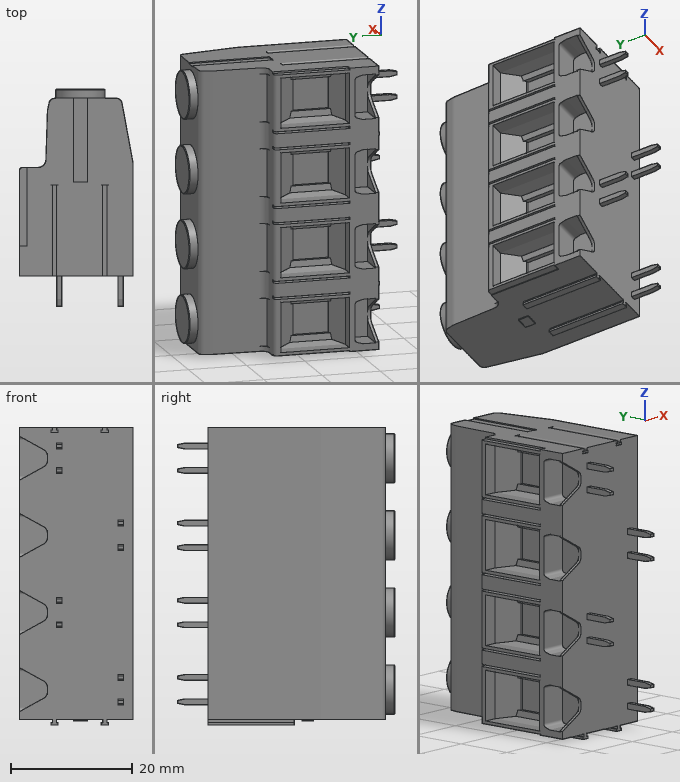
import cadquery as cq


POLES = 4
PITCH = 12.7
LOWER_MARGIN = 4.95
UPPER_MARGIN = 5.1
DEPTH = 18.7
HEIGHT = 29.25
LENGTH = (POLES - 1) * PITCH + LOWER_MARGIN + UPPER_MARGIN
POLE_CENTRES = [LOWER_MARGIN + i * PITCH for i in range(POLES)]

SHELF_Y = 17.9
SHELF_INNER_X = 4.3
SHELF_EDGE_RADIUS = 0.55
SHELF_ROOT_RADIUS = 1.25
TOWER_BEND = (4.6, 27.25)
TOWER_FRONT_X = 5.05
TOWER_REAR_X = 16.75
TOWER_EDGE_RADIUS = 1.0
BEND_RADIUS = 2.95
REAR_BEND_Y = 18.6
ROOT_CLEARANCE = 4.05

SCREW_X = 10.05
SCREW_DIAMETER = 8.15
SCREW_HEIGHT = 1.5
SCREW_CHAMFER = 0.15
SCREW_EMBED = 0.5

MOUTH_Y = (5.05, 16.8)
SHAFT_Y = (7.2, 13.3)
MOUTH_HALF_WIDTH = 4.25
SHAFT_HALF_WIDTH = 2.7
FUNNEL_START = 2.35
FUNNEL_END = 4.8
SHAFT_END = 5.2
ENTRY_HALF_WIDTHS = [
    (0, MOUTH_HALF_WIDTH),
    (FUNNEL_START, MOUTH_HALF_WIDTH),
    (4.3, 3.75),
    (4.5, SHAFT_HALF_WIDTH),
    (FUNNEL_END, SHAFT_HALF_WIDTH),
    (SHAFT_END, SHAFT_HALF_WIDTH),
]

SLOT_OFFSET = 4.8
SLOT_WIDTH = 0.35
SLOT_DEPTH = 1.23
SLOT_BOTTOM_Y = 4.95

POCKET_DEPTH = 4.6
POCKET_TOP_Y = 4.05
POCKET_HALF_WIDTH = 3.75
POCKET_ROOF_HALF_WIDTH = 3.4
POCKET_BEND_Y = 2.75
POCKET_ROOF_RADIUS = 0.6
LIP = 0.55
NOTCH_MOUTH_HALF_WIDTH = 3.65
NOTCH_END_HALF_WIDTH = 1.1
NOTCH_RADIUS = 1.23

PIN_COLUMNS = (16.65, 6.55)
PIN_OFFSET = 2.0
PIN_WIDTH = 0.9
PIN_THICKNESS = 1.0
PIN_LENGTH = 5.0
PIN_TAPER_LENGTH = 1.2
PIN_EMBED = 0.5
PIN_TIP_THICKNESS = 0.5

RAIL_CENTRES = (5.8, 14.05)
RAIL_NECK_WIDTH = 0.75
RAIL_HEAD_WIDTH = 1.23
RAIL_HEIGHT = 0.9
RAIL_HEAD_HEIGHT = 0.4
RAIL_LENGTH = 14.2
GROOVE_LENGTH = 14.95
GROOVE_MOUTH_RADIUS = 0.2

KEY_WIDTH = 2.25
KEY_BOTTOM_Y = 15.5
KEY_LENGTH = 1.9
KEY_HEIGHT = 0.2


def block(x0, x1, y0, y1, z0, z1):
    """Box between two opposite corners."""
    return cq.Workplane("XY").box(x1 - x0, y1 - y0, z1 - z0, centered=False).translate((x0, y0, z0))


def housing():
    outline = [
        (0, 0), (DEPTH, 0), (DEPTH, REAR_BEND_Y), (TOWER_REAR_X, HEIGHT), (TOWER_FRONT_X, HEIGHT),
        TOWER_BEND, (SHELF_INNER_X, SHELF_Y), (0, SHELF_Y),
    ]
    fillets = [
        ((TOWER_REAR_X, HEIGHT), TOWER_EDGE_RADIUS),
        ((TOWER_FRONT_X, HEIGHT), TOWER_EDGE_RADIUS),
        (TOWER_BEND, BEND_RADIUS),
        ((SHELF_INNER_X, SHELF_Y), SHELF_ROOT_RADIUS),
        ((0, SHELF_Y), SHELF_EDGE_RADIUS),
    ]
    body = cq.Workplane("XY").polyline(outline).close().extrude(LENGTH)
    for (x, y), radius in fillets:
        body = body.edges(cq.NearestToPointSelector((x, y, LENGTH / 2))).fillet(radius)
    return body


def root_relief(z):
    """Material of the root fillet that is missing in front of one pole."""
    reach = 2 * SHELF_ROOT_RADIUS
    slope = (TOWER_BEND[0] - SHELF_INNER_X) / (TOWER_BEND[1] - SHELF_Y)
    corner = [
        (SHELF_INNER_X, SHELF_Y),
        (SHELF_INNER_X + slope * reach, SHELF_Y + reach),
        (SHELF_INNER_X - reach, SHELF_Y + reach),
        (SHELF_INNER_X - reach, SHELF_Y),
    ]
    relief = cq.Workplane("XY").polyline(corner).close().extrude(2 * ROOT_CLEARANCE)
    return relief.translate((0, 0, z - ROOT_CLEARANCE))


def screw(z):
    head = cq.Workplane("XZ").circle(SCREW_DIAMETER / 2).extrude(-(SCREW_HEIGHT + SCREW_EMBED))
    head = head.faces(">Y").chamfer(SCREW_CHAMFER)
    return head.translate((SCREW_X, HEIGHT - SCREW_EMBED, z))


def entry_section(depth, half_width, z):
    """Rectangle of a wire entry; its Y limits converge linearly along the funnel."""
    share = (depth - FUNNEL_START) / (FUNNEL_END - FUNNEL_START)
    share = min(max(share, 0), 1)
    low, high = [mouth + share * (shaft - mouth) for mouth, shaft in zip(MOUTH_Y, SHAFT_Y)]
    corners = [(low, -half_width), (high, -half_width), (high, half_width), (low, half_width)]
    return cq.Wire.makePolygon([cq.Vector(depth, y, z + dz) for y, dz in corners], close=True)


def wire_entry(z):
    sections = [entry_section(depth, half_width, z) for depth, half_width in ENTRY_HALF_WIDTHS]
    entry = cq.Workplane("XY")
    for start, end in zip(sections, sections[1:]):
        entry = entry.add(cq.Solid.makeLoft([start, end], True))
    return entry.combine()


def side_slot(z):
    return block(0, SLOT_DEPTH, SLOT_BOTTOM_Y, SHELF_Y, z - SLOT_WIDTH / 2, z + SLOT_WIDTH / 2)


def solder_pocket(z):
    """Pocket with rounded roof edges, open through a V-shaped notch in the lip below it."""
    pocket = (
        cq.Workplane("YZ")
        .polyline([
            (LIP, -POCKET_HALF_WIDTH), (POCKET_BEND_Y, -POCKET_HALF_WIDTH),
            (POCKET_TOP_Y, -POCKET_ROOF_HALF_WIDTH), (POCKET_TOP_Y, POCKET_ROOF_HALF_WIDTH),
            (POCKET_BEND_Y, POCKET_HALF_WIDTH), (LIP, POCKET_HALF_WIDTH),
        ])
        .close()
        .extrude(POCKET_DEPTH)
        .edges("|X and >Y")
        .fillet(POCKET_ROOF_RADIUS)
    )
    notch = (
        cq.Workplane("XZ")
        .polyline([
            (0, -NOTCH_MOUTH_HALF_WIDTH), (POCKET_DEPTH, -NOTCH_END_HALF_WIDTH),
            (POCKET_DEPTH, NOTCH_END_HALF_WIDTH), (0, NOTCH_MOUTH_HALF_WIDTH),
        ])
        .close()
        .extrude(-LIP)
        .edges("|Y and >X")
        .fillet(NOTCH_RADIUS)
    )
    return pocket.union(notch).translate((0, 0, z))


def pin(x, z):
    """Flat-sided pin rooted inside the housing, tapered at its tip."""
    taper_y = PIN_TAPER_LENGTH - PIN_LENGTH
    half = PIN_THICKNESS / 2
    tip = PIN_TIP_THICKNESS / 2
    profile = [
        (PIN_EMBED, -half), (taper_y, -half), (-PIN_LENGTH, -tip),
        (-PIN_LENGTH, tip), (taper_y, half), (PIN_EMBED, half),
    ]
    blade = cq.Workplane("YZ").polyline(profile).close().extrude(PIN_WIDTH)
    return blade.translate((x - PIN_WIDTH / 2, 0, z))


def tee(x, length, z):
    """T-shaped bar hanging below height z: narrow neck above a wider head."""
    neck = block(x - RAIL_NECK_WIDTH / 2, x + RAIL_NECK_WIDTH / 2, 0, length, z - RAIL_HEIGHT, z)
    head = block(
        x - RAIL_HEAD_WIDTH / 2, x + RAIL_HEAD_WIDTH / 2, 0, length,
        z - RAIL_HEIGHT, z - RAIL_HEIGHT + RAIL_HEAD_HEIGHT,
    )
    return neck.union(head)


def groove(x):
    """Undercut groove in the upper end face, with a rounded mouth."""
    neck = RAIL_NECK_WIDTH / 2
    mouth = neck + GROOVE_MOUTH_RADIUS
    flare = (
        cq.Workplane("XZ", origin=(x, 0, LENGTH))
        .moveTo(-neck, -GROOVE_MOUTH_RADIUS)
        .radiusArc((-mouth, 0), -GROOVE_MOUTH_RADIUS)
        .lineTo(mouth, 0)
        .radiusArc((neck, -GROOVE_MOUTH_RADIUS), -GROOVE_MOUTH_RADIUS)
        .close()
        .extrude(-GROOVE_LENGTH)
    )
    return tee(x, GROOVE_LENGTH, LENGTH).union(flare)


def key(length, z):
    """Flat bar hanging below height z, in line with the screws."""
    return block(
        SCREW_X - KEY_WIDTH / 2, SCREW_X + KEY_WIDTH / 2,
        KEY_BOTTOM_Y, KEY_BOTTOM_Y + length, z - KEY_HEIGHT, z,
    )


result = housing()

for index, centre in enumerate(POLE_CENTRES):
    result = result.cut(root_relief(centre))
    result = result.cut(wire_entry(centre)).cut(solder_pocket(centre))
    for side in (-1, 1):
        result = result.cut(side_slot(centre + side * (SLOT_OFFSET + SLOT_WIDTH / 2)))
        result = result.union(pin(PIN_COLUMNS[index % 2], centre + side * PIN_OFFSET))
    result = result.union(screw(centre))

for rail_x in RAIL_CENTRES:
    result = result.cut(groove(rail_x)).union(tee(rail_x, RAIL_LENGTH, 0))

result = result.cut(key(HEIGHT - KEY_BOTTOM_Y, LENGTH)).union(key(KEY_LENGTH, 0))